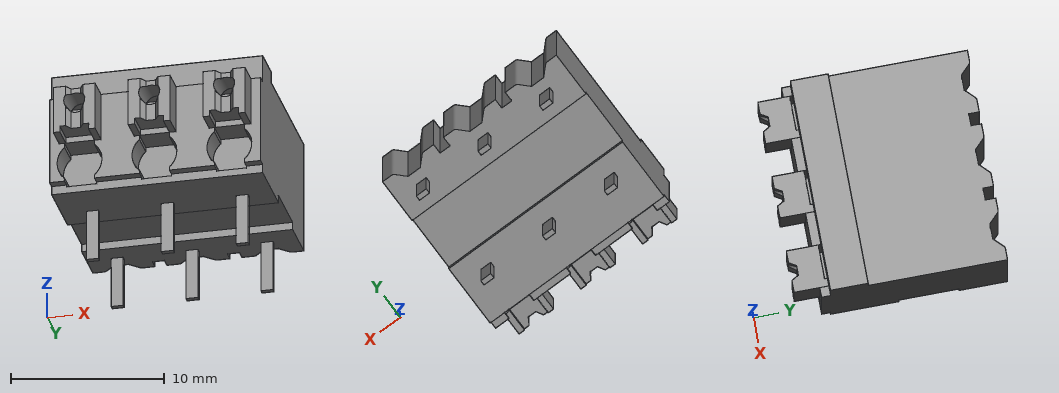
import cadquery as cq


pole_pitch = 5.0
pole_positions = [-pole_pitch, 0, pole_pitch]

housing_width = 14.1
housing_back = 11.72
roof_height = 7.73
visor_depth = 2.5
visor_height = 8.5
nose_length = 0.59
nose_bottom = 0.59
nose_top = 6.61
underside_relief_front = 4.51
underside_relief_back = 8.5
underside_relief_height = 0.52

notch_depth = 0.7
notch_floor_half_width = 0.5
notch_mouth_half_width = notch_floor_half_width + notch_depth
notch_edge_radius = 0.28
divider_slot_width = 0.8

entry_offset = -0.04
entry_radius = 1.5
entry_height = 1.93
entry_slot_width = 2.0
entry_slot_bottom = 0.47
cavity_back = 1.23

button_width = 2.79
button_bottom = 3.34
button_front = -2.28
button_height = nose_top - button_bottom
arm_relief_front = -0.17
arm_relief_floor = 0.41
arm_width = 0.51
groove_mouth_width = 1.18
groove_floor_width = 0.62
groove_depth = 0.48
tool_hole_diameter = 1.4
tool_hole_height = 5.58
clearance_width = 1.92
clearance_height = 0.41

pin_width = 0.8
pin_thickness = 0.35
pin_length = 3.5
pin_rows = [3.05, 10.07]


def box(x_range, y_range, z_range):
    """Block between two X, two Y and two Z limits."""
    size = [limits[1] - limits[0] for limits in (x_range, y_range, z_range)]
    return cq.Workplane("XY").box(*size, centered=False).translate((x_range[0], y_range[0], z_range[0]))


def centred(width, middle=0):
    """Limits of a width about its middle."""
    return (middle - width / 2, middle + width / 2)


def cylinder_along_y(radius, x, z, front, back):
    """Round bar parallel to Y between two Y positions."""
    plane = cq.Plane(origin=(x, front, z), xDir=(1, 0, 0), normal=(0, 1, 0))
    return cq.Workplane(plane).circle(radius).extrude(back - front)


def housing_blank():
    """Side profile with visor, nose and underside relief, extruded across the width."""
    outline = [
        (0, 0),
        (underside_relief_front, 0),
        (underside_relief_front, underside_relief_height),
        (underside_relief_back, underside_relief_height),
        (underside_relief_back, 0),
        (housing_back, 0),
        (housing_back, roof_height),
        (visor_depth, roof_height),
        (visor_depth, visor_height),
        (0, visor_height),
        (0, nose_top),
        (-nose_length, nose_top),
        (-nose_length, nose_bottom),
        (0, nose_bottom),
    ]
    return cq.Workplane("YZ").polyline(outline).close().extrude(housing_width / 2, both=True)


def cut_back_notches(body):
    """Tapered notch behind each pole, with rounded mouth edges."""
    floor = housing_back - notch_depth
    outline = [
        (-notch_mouth_half_width, housing_back),
        (-notch_floor_half_width, floor),
        (notch_floor_half_width, floor),
        (notch_mouth_half_width, housing_back),
    ]
    notch = cq.Workplane("XY").polyline(outline).close().extrude(roof_height)
    for x in pole_positions:
        body = body.cut(notch.translate((x, 0, 0)))
    edge_margin = 0.01
    for x in pole_positions:
        for side in (-1, 1):
            edge_x = x + side * notch_mouth_half_width
            edge_zone = cq.selectors.BoxSelector(
                (edge_x - edge_margin, housing_back - edge_margin, 0),
                (edge_x + edge_margin, housing_back + edge_margin, roof_height),
            )
            body = body.edges(edge_zone).fillet(notch_edge_radius)
    return body


def cut_divider_slots(body):
    """Square slots in the back face, midway between neighbouring poles."""
    for x in (-pole_pitch / 2, pole_pitch / 2):
        slot = box(
            centred(divider_slot_width, x),
            (housing_back - notch_depth, housing_back),
            (0, roof_height),
        )
        body = body.cut(slot)
    return body


def cut_front_openings(body):
    """Button pocket and wire entry of each pole, all ending at the same back wall."""
    for x in pole_positions:
        entry_x = x + entry_offset
        depth_range = (-nose_length, cavity_back)
        pocket = box(centred(button_width, x), depth_range, (button_bottom, nose_top))
        round_entry = cylinder_along_y(entry_radius, entry_x, entry_height, *depth_range)
        entry_slot = box(
            centred(entry_slot_width, entry_x), depth_range, (entry_slot_bottom, button_bottom)
        )
        below_slot = box(centred(2 * entry_radius, entry_x), depth_range, (0, entry_slot_bottom))
        body = body.cut(pocket).cut(round_entry.cut(below_slot)).cut(entry_slot)
    return body


def make_housing():
    return cut_front_openings(cut_divider_slots(cut_back_notches(housing_blank())))


def make_button(x):
    """Push button: grooved block, relieved from above to leave a narrow arm along its right side."""
    left, right = centred(button_width)
    height_range = (button_bottom, nose_top)
    block = box((left, right), (button_front, cavity_back), height_range)
    arm_relief = box(
        (left, right - arm_width),
        (arm_relief_front, cavity_back),
        (button_bottom + arm_relief_floor, nose_top),
    )
    groove_outline = [
        (-groove_mouth_width / 2, button_front),
        (-groove_floor_width / 2, button_front + groove_depth),
        (groove_floor_width / 2, button_front + groove_depth),
        (groove_mouth_width / 2, button_front),
    ]
    groove = (
        cq.Workplane("XY", origin=(0, 0, button_bottom))
        .polyline(groove_outline)
        .close()
        .extrude(button_height)
    )
    tool_hole = cylinder_along_y(tool_hole_diameter / 2, 0, tool_hole_height, button_front, arm_relief_front)
    wire_clearance = box(
        centred(clearance_width),
        (button_front, -nose_length),
        (button_bottom, button_bottom + clearance_height),
    )
    button = block.cut(arm_relief).cut(groove).cut(tool_hole).cut(wire_clearance)
    return button.translate((x, 0, 0))


def make_pin(x, y):
    """Flat solder pin standing below the housing underside."""
    return box(centred(pin_width, x), centred(pin_thickness, y), (-pin_length, 0))


housing = make_housing()
buttons = [make_button(x) for x in pole_positions]
pins = [make_pin(x, y) for y in pin_rows for x in pole_positions]

bodies = [housing, *buttons, *pins]
result = cq.Compound.makeCompound([body.solids().val() for body in bodies])